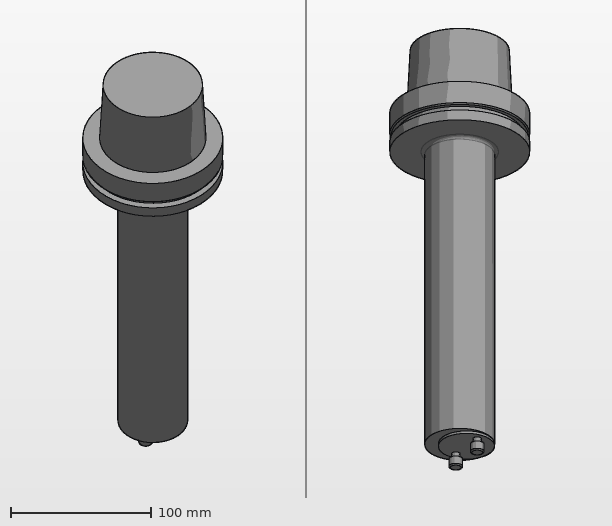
import cadquery as cq
import math

total_height = 329.0

taper_height = 50.0
taper_top_diameter = 71.0
taper_base_diameter = 76.0

flange_diameter = 100.0
upper_rim_height = 17.0
lower_rim_height = 8.0
groove_diameter = 92.0
groove_height = 6.0
groove_floor_rise = 1.0
upper_rim_chamfer = 1.0

bar_diameter = 50.0
collar_radius = 2.5

seat_diameter = 40.0
seat_height = 2.0

bolt_circle_diameter = 28.0
bolt_angles = (135, 315)
bolt_shank_diameter = 6.0
bolt_shank_height = 4.3
bolt_head_diameter = 10.0
bolt_head_height = 7.0
bolt_head_chamfer = 1.0

seat_bottom = bolt_head_height + bolt_shank_height
bar_bottom = seat_bottom + seat_height
flange_top = total_height - taper_height
groove_top = flange_top - upper_rim_height
groove_bottom = groove_top - groove_height
flange_bottom = groove_bottom - lower_rim_height
seat_center_x = (seat_diameter - bar_diameter) / 2


def cylinder(diameter, bottom, top):
    """Vertical cylinder on the Z axis between two levels."""
    return cq.Workplane("XY").workplane(offset=bottom).circle(diameter / 2).extrude(top - bottom)


def make_holder():
    """Taper, grooved flange and bar as one revolved half-profile."""
    bar_radius = bar_diameter / 2
    flange_radius = flange_diameter / 2
    groove_radius = groove_diameter / 2
    return (
        cq.Workplane("XZ")
        .moveTo(0, bar_bottom)
        .lineTo(bar_radius, bar_bottom)
        .lineTo(bar_radius, flange_bottom - collar_radius)
        .radiusArc((bar_radius + collar_radius, flange_bottom), collar_radius)
        .lineTo(flange_radius, flange_bottom)
        .lineTo(flange_radius, groove_bottom)
        .lineTo(groove_radius, groove_bottom + groove_floor_rise)
        .lineTo(groove_radius, groove_top - upper_rim_chamfer)
        .lineTo(flange_radius - upper_rim_chamfer, groove_top - upper_rim_chamfer)
        .lineTo(flange_radius, groove_top)
        .lineTo(flange_radius, flange_top)
        .lineTo(taper_base_diameter / 2, flange_top)
        .lineTo(taper_top_diameter / 2, total_height)
        .lineTo(0, total_height)
        .close()
        .revolve(360, (0, 0, 0), (0, 1, 0))
    )


def make_bolt():
    """Bolt on the Z axis, head down, with the head's lower rim chamfered."""
    head = cylinder(bolt_head_diameter, 0, bolt_head_height).faces("<Z").chamfer(bolt_head_chamfer)
    return head.union(cylinder(bolt_shank_diameter, bolt_head_height, seat_bottom))


def make_bolted_seat():
    """Round seat with its two opposite bolts, built on the Z axis."""
    seat = cylinder(seat_diameter, seat_bottom, bar_bottom)
    bolt_circle_radius = bolt_circle_diameter / 2
    for angle in bolt_angles:
        bolt_x = bolt_circle_radius * math.cos(math.radians(angle))
        bolt_y = bolt_circle_radius * math.sin(math.radians(angle))
        seat = seat.union(make_bolt().translate((bolt_x, bolt_y, 0)))
    return seat


result = make_holder().union(make_bolted_seat().translate((seat_center_x, 0, 0)))